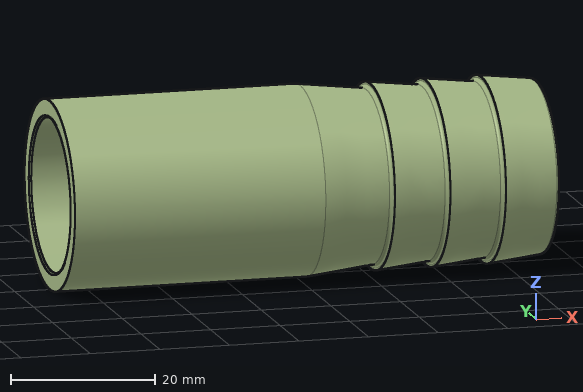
import cadquery as cq

LENGTH = 70.0
PIPE_RADIUS = 13.45
BORE_RADIUS = 10.85
BORE_CHAMFER = 0.3

PLAIN_LENGTH = 36.05
BARB_COUNT = 3
BARB_PITCH = 8.0
BARB_RADIUS = 13.15
ROOT_RADIUS = 12.25
ROOT_FILLET = 0.5
TIP_FILLET = 0.5

first_barb_x = LENGTH - BARB_COUNT * BARB_PITCH
barb_faces_x = [first_barb_x + i * BARB_PITCH for i in range(BARB_COUNT)]


def make_outer_body():
    """Revolve the outer profile: plain stub, taper and saw-tooth barbs."""
    profile = cq.Workplane("XZ").lineTo(0, PIPE_RADIUS).lineTo(PLAIN_LENGTH, PIPE_RADIUS)
    for face_x in barb_faces_x:
        profile = profile.lineTo(face_x, ROOT_RADIUS).lineTo(face_x, BARB_RADIUS)
    profile = profile.lineTo(LENGTH, ROOT_RADIUS).lineTo(LENGTH, 0).close()
    return profile.revolve(360, (0, 0, 0), (1, 0, 0))


def round_barbs(body):
    """Fillet the corner at the foot of each barb face, and the rim of the tail end."""
    mid_barb_radius = (ROOT_RADIUS + BARB_RADIUS) / 2
    last_barb_middle_x = barb_faces_x[-1] + BARB_PITCH / 2
    root_edges = [
        edge
        for edge in body.edges("%CIRCLE").vals()
        if edge.radius() < mid_barb_radius and edge.Center().x < last_barb_middle_x
    ]
    body = body.newObject(root_edges).fillet(ROOT_FILLET)
    return body.faces(">X").edges().fillet(TIP_FILLET)


def cut_bore(body):
    """Bore straight through and chamfer the bore mouth at the plain end."""
    bore = cq.Workplane("YZ").circle(BORE_RADIUS).extrude(LENGTH)
    body = body.cut(bore)
    bore_mouth = body.faces("<X").edges(cq.selectors.RadiusNthSelector(0))
    return bore_mouth.chamfer(BORE_CHAMFER)


result = cut_bore(round_barbs(make_outer_body()))